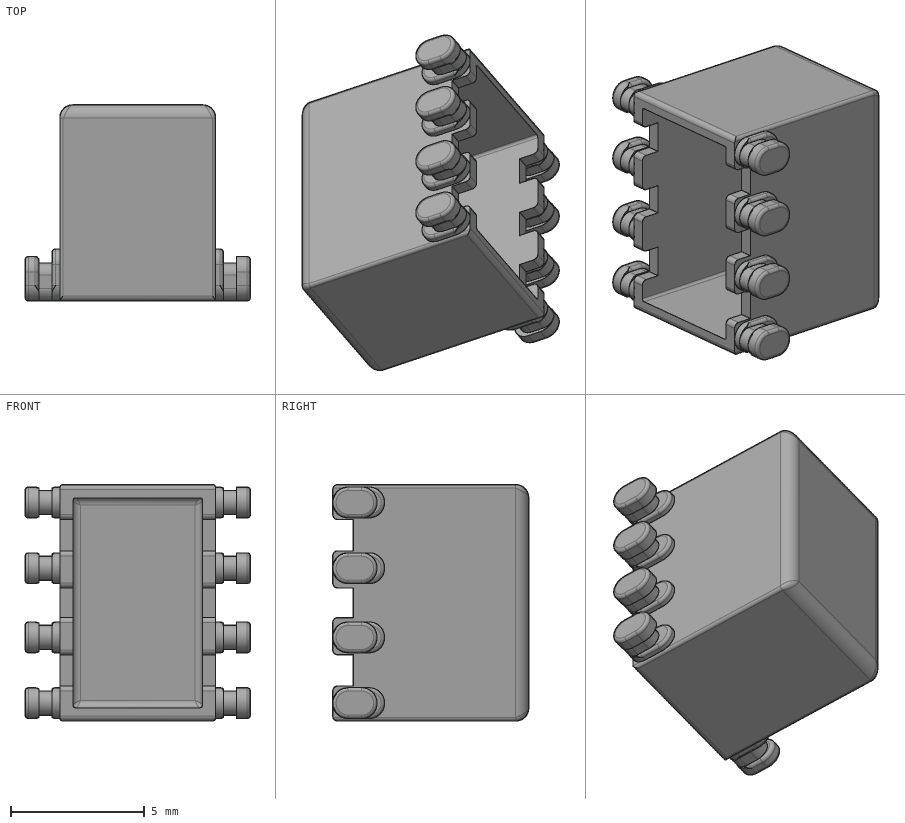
import cadquery as cq

body_width = 5.86
body_depth = 7.37
body_height = 8.89
wall = 0.5
back_radius = 0.5
long_edge_radius = 0.13
front_radius = 0.19
cavity_edge_radius = 0.1
cavity_floor_radius = 0.27

notch_depth = 0.77
middle_notch_half_span = 0.555
outer_notch_start = 1.955
outer_notch_end = 3.125

overall_width = 8.47
pin_heights = (-3.77, -1.3, 1.3, 3.77)
pin_root = 0.2
head_length = 0.525
flange_length = 0.29
head_diameter = 1.16
neck_diameter = 0.915
head_straight = 0.51
flange_straight = 0.79
tip_radius = 0.13
flange_radius = 0.13
head_inner_radius = 0.155
runout_length = 0.22

front_y = -body_depth / 2
side_x = body_width / 2
tip_x = overall_width / 2
head_x = tip_x - head_length
flange_x = side_x + flange_length
front_arc_y = front_y + head_diameter / 2


def make_outer():
    """Solid box with rounded long edges and a rounded closed end."""
    outer = cq.Workplane("XY").box(body_width, body_depth, body_height)
    outer = outer.edges("|Y").fillet(long_edge_radius)
    return outer.faces(">Y").edges().fillet(back_radius)


def make_cavity():
    """Rectangular pocket from the front with softened corners and a rounded floor."""
    cavity = cq.Workplane("XY").box(body_width - 2 * wall, body_depth - wall, body_height - 2 * wall)
    cavity = cavity.translate((0, -wall / 2, 0))
    cavity = cavity.edges("|Y").fillet(cavity_edge_radius)
    return cavity.faces(">Y").edges().fillet(cavity_floor_radius)


def make_rim_envelope():
    """Side profile of the housing, with the notched and rounded front rim, across the full width."""
    envelope = cq.Workplane("XY").box(body_width, body_depth, body_height)
    outer_span = outer_notch_end - outer_notch_start
    outer_centre = (outer_notch_end + outer_notch_start) / 2
    notches = (
        (-outer_centre, outer_span),
        (0, 2 * middle_notch_half_span),
        (outer_centre, outer_span),
    )
    for centre_z, span in notches:
        notch = cq.Workplane("XY").box(body_width, 2 * notch_depth, span)
        envelope = envelope.cut(notch.translate((0, front_y, centre_z)))
    return envelope.faces("<Y").edges("|X").fillet(front_radius)


def stadium(x_start, x_end, diameter, straight):
    """Bar along X with a stadium section, long in Y and touching the front plane."""
    centre_y = front_y + (diameter + straight) / 2
    section = cq.Workplane("YZ", origin=(x_start, centre_y, 0)).slot2D(straight + diameter, diameter)
    return section.extrude(x_end - x_start)


def fade_rounding(bar, end_face, radius, face_x, inward):
    """Round one end of a bar, leaving it sharp around the front arc.

    The rounding runs out along a slanted line from the start of the front arc.
    inward is the X direction (+1 or -1) from the end face into the bar.
    """
    rounded = bar.faces(end_face).edges().fillet(radius)
    sharp_zone = (
        cq.Workplane("XY")
        .moveTo(face_x, front_y)
        .lineTo(face_x, front_arc_y - runout_length)
        .lineTo(face_x + inward * radius, front_arc_y)
        .lineTo(face_x + inward * radius, front_y)
        .close()
        .extrude(head_diameter, both=True)
    )
    return rounded.union(bar.intersect(sharp_zone))


def make_pin(round_head_inside):
    """Pin on the +X wall at mid-height, optionally with a rounded inner edge on the head."""
    flange = stadium(side_x - pin_root, flange_x, head_diameter, flange_straight)
    flange = fade_rounding(flange, ">X", flange_radius, flange_x, -1)
    neck = stadium(side_x, tip_x - head_length / 2, neck_diameter, head_straight)
    head = stadium(head_x, tip_x, head_diameter, head_straight)
    head = head.faces(">X").edges().fillet(tip_radius)
    if round_head_inside:
        head = fade_rounding(head, "<X", head_inner_radius, head_x, 1)
    return flange.union(neck).union(head)


result = make_outer().intersect(make_rim_envelope()).cut(make_cavity())

right_pin = make_pin(round_head_inside=False)
left_pin = make_pin(round_head_inside=True).mirror("YZ")
for height in pin_heights:
    for pin in (right_pin, left_pin):
        result = result.union(pin.translate((0, 0, height)))